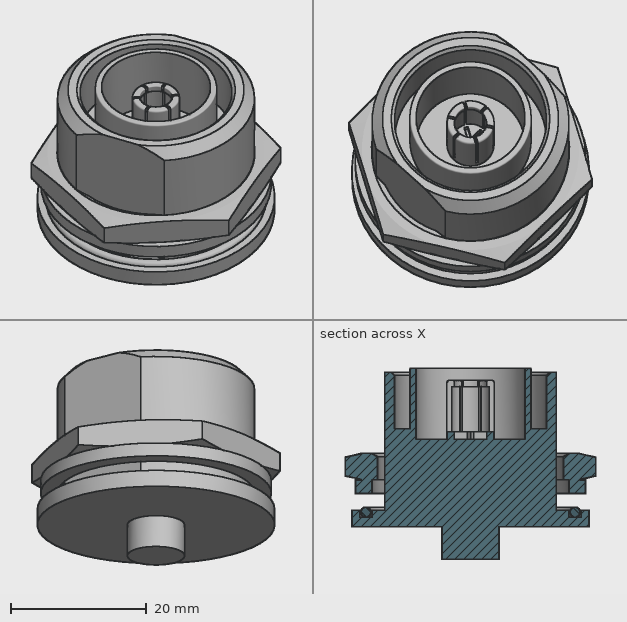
import cadquery as cq
import math

TAIL_BOTTOM_Z = -4.8
FLANGE_TOP_Z = 2.48
WASHER_BOTTOM_Z = 4.9
NUT_BOTTOM_Z = 6.9
NUT_TOP_Z = 10.85
BARREL_TOP_Z = 22.8
CUP_TOP_Z = 23.4
CONTACT_RECESS = 1.8
CONTACT_TOP_Z = CUP_TOP_Z - CONTACT_RECESS

BARREL_RADIUS = 14.52
BARREL_CHAMFER = 1.55
FLATS_WIDTH = 25.3
BORE_RADIUS = 11.2
BORE_DEPTH = 8.3
BORE_FLOOR_Z = BARREL_TOP_Z - BORE_DEPTH
BORE_CHAMFER = 0.48

FLANGE_DIAMETER = 35.0
TAIL_RADIUS = 4.2

NUT_SIDES = 6
NUT_CORNER_RADIUS = 18.48
NUT_FLAT_RADIUS = NUT_CORNER_RADIUS * math.cos(math.pi / NUT_SIDES)
NUT_CHAMFER_HEIGHT = 0.6
THREAD_MINOR_RADIUS = 13.7
COUNTERSINK_RADIUS = 14.6
COUNTERSINK_SLOPE = 30
WASHER_RADIUS = 17.0

RING_WIRE_RADIUS = 0.75
RING_PROTRUSION = 0.45
GROOVE_WIDTH = 1.8
GROOVE_DEPTH = 2 * RING_WIRE_RADIUS - RING_PROTRUSION
GROOVE_BOTTOM_Z = FLANGE_TOP_Z - GROOVE_DEPTH
RING_RADIUS = BARREL_RADIUS + GROOVE_WIDTH / 2

CUP_RADIUS = 8.95
CUP_BORE_RADIUS = 8.0
CUP_FILLET = 0.22
CUP_FLOOR_Z = 12.95

CONTACT_RADIUS = 3.47
CONTACT_FILLET = 0.3
CONTACT_BORE_RADIUS = 2.77
LIP_RADIUS = 2.35
LIP_FILLET = 0.15
LIP_HEIGHT = 0.92
SOCKET_FLOOR_THICKNESS = 1.1
SOCKET_FLOOR_Z = CUP_FLOOR_Z + SOCKET_FLOOR_THICKNESS
SLOT_WIDTH = 0.35
FLOOR_GROOVE_WIDTH = 0.55
SLOT_ANGLES = (30, 90, 150)


def disc(radius, bottom_z, top_z):
    """Upright cylinder on the Z axis."""
    return cq.Workplane("XY").workplane(offset=bottom_z).circle(radius).extrude(top_z - bottom_z)


def tube(outer_radius, inner_radius, bottom_z, top_z):
    """Upright tube on the Z axis."""
    return disc(outer_radius, bottom_z, top_z).cut(disc(inner_radius, bottom_z, top_z))


def revolved(points):
    """Solid of revolution about Z from (radius, z) points."""
    return cq.Workplane("XZ").polyline(points).close().revolve(360, (0, 0), (0, 1))


def make_barrel():
    """Bored barrel with chamfered top rims and a flat on the +Y and -Y sides."""
    barrel = disc(BARREL_RADIUS, 0, BARREL_TOP_Z).faces(">Z").chamfer(BARREL_CHAMFER)
    flats = cq.Workplane("XY").rect(2 * BARREL_RADIUS, FLATS_WIDTH).extrude(BARREL_TOP_Z)
    bore = disc(BORE_RADIUS, BORE_FLOOR_Z, BARREL_TOP_Z)
    countersink = revolved([
        (0, BARREL_TOP_Z),
        (BORE_RADIUS + BORE_CHAMFER, BARREL_TOP_Z),
        (BORE_RADIUS, BARREL_TOP_Z - BORE_CHAMFER),
        (0, BARREL_TOP_Z - BORE_CHAMFER),
    ])
    return barrel.intersect(flats).cut(bore).cut(countersink)


def make_flange():
    """Flange disc with the sealing groove in its top face and the tail below it."""
    groove = tube(BARREL_RADIUS + GROOVE_WIDTH, BARREL_RADIUS, GROOVE_BOTTOM_Z, FLANGE_TOP_Z)
    tail = disc(TAIL_RADIUS, TAIL_BOTTOM_Z, 0)
    return disc(FLANGE_DIAMETER / 2, 0, FLANGE_TOP_Z).cut(groove).union(tail)


def make_nut():
    """Hexagon nut with corners on the Y axis, chamfered corners and a countersunk bore."""
    hexagon = (
        cq.Workplane("XY")
        .workplane(offset=NUT_BOTTOM_Z)
        .transformed(rotate=(0, 0, 90))
        .polygon(NUT_SIDES, 2 * NUT_CORNER_RADIUS)
        .extrude(NUT_TOP_Z - NUT_BOTTOM_Z)
    )
    corner_envelope = revolved([
        (0, NUT_BOTTOM_Z),
        (NUT_FLAT_RADIUS, NUT_BOTTOM_Z),
        (NUT_CORNER_RADIUS, NUT_BOTTOM_Z + NUT_CHAMFER_HEIGHT),
        (NUT_CORNER_RADIUS, NUT_TOP_Z - NUT_CHAMFER_HEIGHT),
        (NUT_FLAT_RADIUS, NUT_TOP_Z),
        (0, NUT_TOP_Z),
    ])
    countersink_width = COUNTERSINK_RADIUS - THREAD_MINOR_RADIUS
    countersink_depth = countersink_width * math.tan(math.radians(COUNTERSINK_SLOPE))
    countersunk_bore = revolved([
        (0, NUT_BOTTOM_Z),
        (THREAD_MINOR_RADIUS, NUT_BOTTOM_Z),
        (THREAD_MINOR_RADIUS, NUT_TOP_Z - countersink_depth),
        (COUNTERSINK_RADIUS, NUT_TOP_Z),
        (0, NUT_TOP_Z),
    ])
    return hexagon.intersect(corner_envelope).cut(countersunk_bore)


def make_washer():
    """Flat washer under the nut."""
    return tube(WASHER_RADIUS, BARREL_RADIUS, WASHER_BOTTOM_Z, NUT_BOTTOM_Z)


def make_cup():
    """Round cup standing on the floor of the barrel bore."""
    cup = disc(CUP_RADIUS, BORE_FLOOR_Z, CUP_TOP_Z)
    return cup.faces(">Z").fillet(CUP_FILLET)


def cross_bar(reach, width, angle, bottom_z, top_z):
    """Bar through the Z axis at the given angle, extending by the reach to both sides."""
    return (
        cq.Workplane("XY")
        .workplane(offset=bottom_z)
        .transformed(rotate=(0, 0, angle))
        .rect(2 * reach, width)
        .extrude(top_z - bottom_z)
    )


def make_contact():
    """Socket contact split into six fingers with inward lips, and grooves across its floor."""
    contact = disc(CONTACT_RADIUS, CUP_FLOOR_Z, CONTACT_TOP_Z).faces(">Z").fillet(CONTACT_FILLET)
    lip_bottom_z = CONTACT_TOP_Z - LIP_HEIGHT
    socket = revolved([
        (0, SOCKET_FLOOR_Z),
        (CONTACT_BORE_RADIUS, SOCKET_FLOOR_Z),
        (CONTACT_BORE_RADIUS, lip_bottom_z),
        (LIP_RADIUS, lip_bottom_z),
        (LIP_RADIUS, CONTACT_TOP_Z),
        (0, CONTACT_TOP_Z),
    ])
    contact = contact.cut(socket)
    contact = contact.faces(">Z").edges(cq.selectors.RadiusNthSelector(0)).fillet(LIP_FILLET)
    for angle in SLOT_ANGLES:
        slot = cross_bar(CONTACT_RADIUS, SLOT_WIDTH, angle, SOCKET_FLOOR_Z, CONTACT_TOP_Z)
        groove = cross_bar(LIP_RADIUS, FLOOR_GROOVE_WIDTH, angle, CUP_FLOOR_Z, SOCKET_FLOOR_Z)
        contact = contact.cut(slot).cut(groove)
    return contact


def make_connector():
    """Connector as one solid: barrel, flange, tail, nut, washer, cup and contact."""
    cup_bore = disc(CUP_BORE_RADIUS, CUP_FLOOR_Z, CUP_TOP_Z)
    shell = make_flange().union(make_barrel()).union(make_washer()).union(make_nut())
    return shell.union(make_cup()).cut(cup_bore).union(make_contact())


def make_sealing_ring():
    """Round-section ring resting on the bottom of the flange groove."""
    return (
        cq.Workplane("XZ")
        .center(RING_RADIUS, GROOVE_BOTTOM_Z + RING_WIRE_RADIUS)
        .circle(RING_WIRE_RADIUS)
        .revolve(360, (-RING_RADIUS, 0), (-RING_RADIUS, 1))
    )


connector = make_connector()
sealing_ring = make_sealing_ring()
result = cq.Compound.makeCompound([connector.val(), sealing_ring.val()])